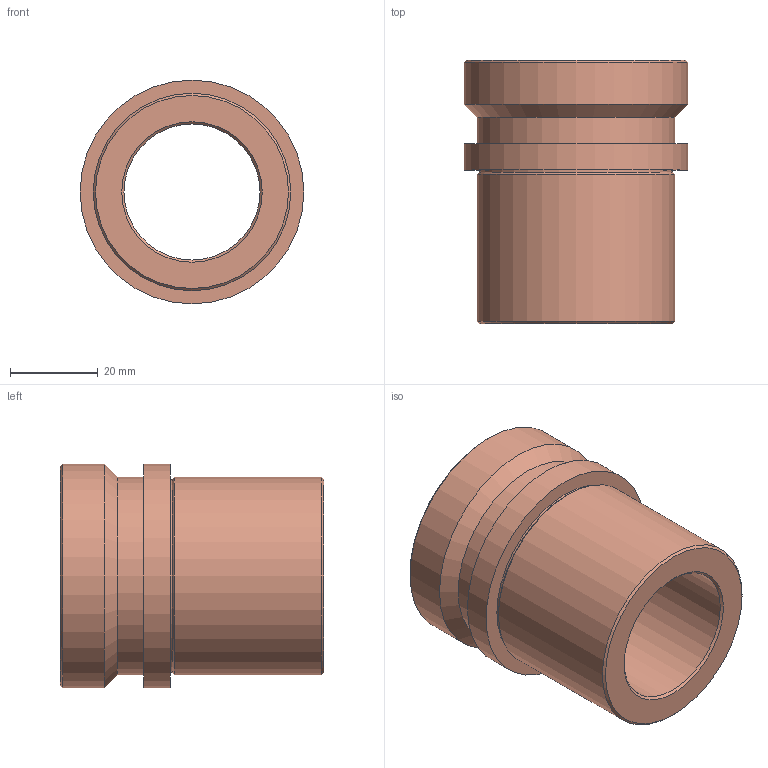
import cadquery as cq

length = 60.0
collar_radius = 25.5
body_radius = 22.5
bore_radius = 15.5
edge_chamfer = 0.5

head_length = 10.0
neck_length = 6.0
flange_thickness = 6.0
relief_width = 0.5
relief_depth = 0.5

cone_length = collar_radius - body_radius
head_front = length - head_length
neck_rear = head_front - cone_length
flange_rear = neck_rear - neck_length
flange_front = flange_rear - flange_thickness
relief_rear_edge = flange_front - relief_width
relief_front_edge = relief_rear_edge - relief_depth
relief_radius = body_radius - relief_depth


def make_turned_body():
    """Revolve the half section (radius, y) about the Y axis."""
    profile = [
        (bore_radius, 0),
        (body_radius, 0),
        (body_radius, relief_front_edge),
        (relief_radius, relief_rear_edge),
        (relief_radius, flange_front),
        (collar_radius, flange_front),
        (collar_radius, flange_rear),
        (body_radius, flange_rear),
        (body_radius, neck_rear),
        (collar_radius, head_front),
        (collar_radius, length),
        (bore_radius, length),
    ]
    section = cq.Workplane("XY").polyline(profile).close()
    return section.revolve(360, (0, 0, 0), (0, 1, 0))


def chamfer_end_faces(body):
    """Break the inner and outer edges of both end faces."""
    return body.faces("<Y or >Y").edges("%CIRCLE").chamfer(edge_chamfer)


result = chamfer_end_faces(make_turned_body())